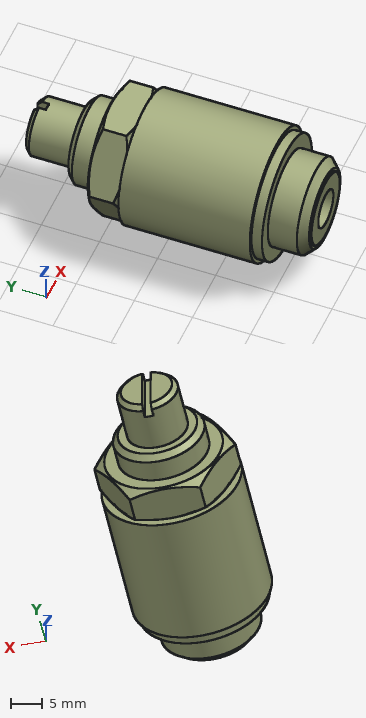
import cadquery as cq
import math

stem_diameter = 10.0
stem_chamfer = 0.8
stem_length = 8.2
slot_width = 1.4
slot_depth = 2.0

collar_diameter = 15.0
collar_chamfer = 1.0
collar_length = 4.6

nut_across_flats = 20.0
nut_length = 6.0
nut_rear_face_diameter = 19.4
nut_front_face_diameter = 20.0
nut_chamfer_angle = 30.0

body_diameter = 23.0
body_length = 22.6
ring_diameter = 21.5
ring_length = 1.8

nose_diameter = 16.5
nose_length = 6.5
nose_chamfer = 1.5
insert_diameter = 12.5
insert_projection = 0.19
insert_chamfer = 0.12
bore_diameter = 6.5
bore_depth = 10.0

nose_front = insert_projection
ring_front = nose_front + nose_length
body_front = ring_front + ring_length
nut_front = body_front + body_length
collar_front = nut_front + nut_length
stem_front = collar_front + collar_length
stem_rear = stem_front + stem_length

nut_across_corners = nut_across_flats / math.cos(math.pi / 6)


def cylinder(diameter, front, length):
    """Cylinder about the Y axis running from `front` toward +Y."""
    plane = cq.Plane(origin=(0, front, 0), xDir=(1, 0, 0), normal=(0, 1, 0))
    return cq.Workplane(plane).circle(diameter / 2).extrude(length)


def make_nut():
    """Hexagon with flats facing +Z and -Z and both ends chamfered by a cone."""
    plane = cq.Plane(origin=(0, nut_front, 0), xDir=(1, 0, 0), normal=(0, 1, 0))
    hexagon = cq.Workplane(plane).polygon(6, nut_across_corners).extrude(nut_length)

    corner_radius = nut_across_corners / 2
    front_radius = nut_front_face_diameter / 2
    rear_radius = nut_rear_face_diameter / 2
    slope = math.tan(math.radians(nut_chamfer_angle))
    envelope = (
        cq.Workplane("XY")
        .moveTo(0, nut_front)
        .lineTo(front_radius, nut_front)
        .lineTo(corner_radius, nut_front + (corner_radius - front_radius) * slope)
        .lineTo(corner_radius, collar_front - (corner_radius - rear_radius) * slope)
        .lineTo(rear_radius, collar_front)
        .lineTo(0, collar_front)
        .close()
        .revolve(360, (0, 0, 0), (0, 1, 0))
    )
    return hexagon.intersect(envelope)


def make_nose():
    """Chamfered nose with a chamfered insert standing slightly proud of its end face."""
    nose = cylinder(nose_diameter, nose_front, nose_length).faces("<Y").chamfer(nose_chamfer)
    insert = cylinder(insert_diameter, 0, insert_projection).faces("<Y").chamfer(insert_chamfer)
    return nose.union(insert)


def make_stem():
    """Chamfered stem with a screwdriver slot across its rear end, along Z."""
    stem = cylinder(stem_diameter, stem_front, stem_length).faces(">Y").chamfer(stem_chamfer)
    slot = (
        cq.Workplane("XY")
        .box(slot_width, slot_depth, stem_diameter)
        .translate((0, stem_rear - slot_depth / 2, 0))
    )
    return stem.cut(slot)


ring = cylinder(ring_diameter, ring_front, ring_length)
body = cylinder(body_diameter, body_front, body_length)
collar = cylinder(collar_diameter, collar_front, collar_length).faces(">Y").chamfer(collar_chamfer)
bore = cylinder(bore_diameter, 0, bore_depth)

result = (
    make_nose()
    .union(ring)
    .union(body)
    .union(make_nut())
    .union(collar)
    .union(make_stem())
    .cut(bore)
)